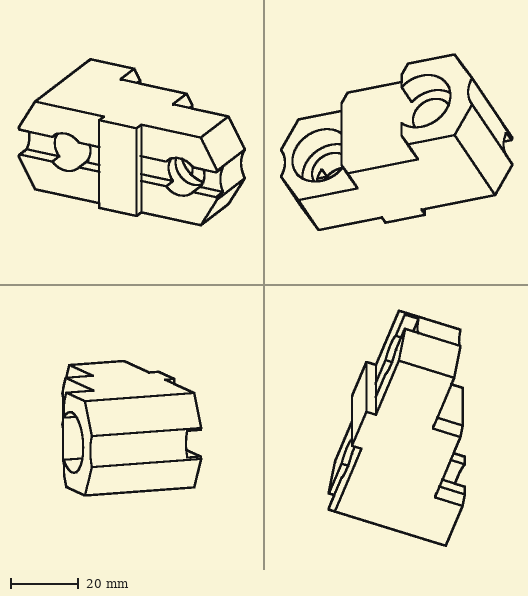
import cadquery as cq
import math

length = 66.55
height = 28.4
total_depth = 37.9
key_depth = 3.0
body_depth = total_depth - key_depth

slope_angle = 30.0
lip_height = 9.3
recess_depth = 1.25

step_count = 3
step_length = length / step_count
step_rise = body_depth / 4
step_slope_run = 2.0

key_width = 12.5
key_center_x = 1.6
hole_spacing = 38.1
hole_diameter = 12.0
counterbore_diameter = 18.0
counterbore_depth = step_rise
slot_height = 8.0
slot_depth = 4.3


def slope_run(rise):
    """Horizontal run of an end slope that climbs by rise."""
    return rise * math.tan(math.radians(slope_angle))


def make_body():
    """Extrude the end-to-end outline backwards from the front face."""
    half_length = length / 2
    half_height = height / 2
    half_lip = lip_height / 2
    half_flat = half_length - slope_run(half_height - half_lip)
    recess_x = half_length - recess_depth
    return (
        cq.Workplane("XZ")
        .moveTo(-half_flat, half_height)
        .lineTo(half_flat, half_height)
        .lineTo(half_length, half_lip)
        .threePointArc((recess_x, 0), (half_length, -half_lip))
        .lineTo(half_flat, -half_height)
        .lineTo(-half_flat, -half_height)
        .lineTo(-half_length, -half_lip)
        .threePointArc((-recess_x, 0), (-half_length, half_lip))
        .close()
        .extrude(-body_depth)
    )


def make_step_cut(step):
    """Material behind one step, bounded by a riser that slopes near its top and bottom edges."""
    riser_x = -length / 2 + step * step_length
    edge_x = riser_x - step_slope_run
    slope_rise = step_slope_run / math.tan(math.radians(slope_angle))
    half_height = height / 2
    slope_start = half_height - slope_rise
    outline = [
        (edge_x, half_height),
        (riser_x, slope_start),
        (riser_x, -slope_start),
        (edge_x, -half_height),
        (length, -half_height),
        (length, half_height),
    ]
    floor_y = body_depth - step * step_rise
    return (
        cq.Workplane("XZ", origin=(0, floor_y, 0))
        .polyline(outline)
        .close()
        .extrude(-step * step_rise)
    )


def make_key():
    """Full-height key on the front face."""
    return (
        cq.Workplane("XY")
        .box(key_width, key_depth, height, centered=(True, False, True))
        .translate((key_center_x, -key_depth, 0))
    )


def make_slot():
    """Cross slot along the front face, running behind the key."""
    return cq.Workplane("XY").box(length, slot_depth, slot_height, centered=(True, False, True))


def make_bolt_hole(side, mouth_y):
    """Through hole on one side of the key, counterbored for the bolt head from its step at mouth_y."""
    center_x = key_center_x + side * hole_spacing / 2
    floor_y = mouth_y - counterbore_depth
    hole = cq.Workplane("XZ").center(center_x, 0).circle(hole_diameter / 2).extrude(-body_depth)
    counterbore = (
        cq.Workplane("XZ", origin=(center_x, floor_y, 0))
        .circle(counterbore_diameter / 2)
        .extrude(floor_y - body_depth)
    )
    return hole.union(counterbore)


body = make_body()
for step in range(1, step_count):
    body = body.cut(make_step_cut(step))

highest_step_y = body_depth
lowest_step_y = body_depth - (step_count - 1) * step_rise
body = body.cut(make_slot())
body = body.cut(make_bolt_hole(-1, highest_step_y))
body = body.cut(make_bolt_hole(1, lowest_step_y))

result = body.union(make_key())